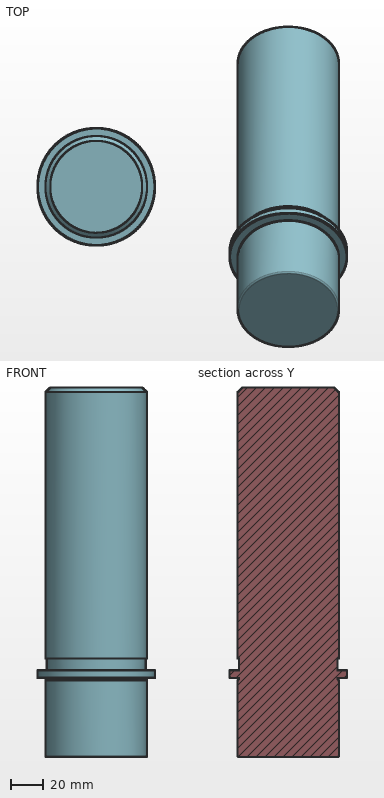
import cadquery as cq

total_height = 229.0
body_radius = 63.0 / 2

collar_radius = 73.0 / 2
collar_bottom = 49.0
collar_thickness = 5.0
collar_edge_chamfer = 0.4

neck_radius = 61.4 / 2
neck_top = 61.0

top_chamfer = 3.0
bottom_fillet = 1.0

shoulder_bottom = 47.5
shoulder_top = 48.6


def make_post():
    """Post with a reduced neck, a chamfered top and a rounded bottom edge, revolved about Z."""
    profile = (
        cq.Workplane("XZ")
        .moveTo(0, 0)
        .lineTo(body_radius - bottom_fillet, 0)
        .radiusArc((body_radius, bottom_fillet), -bottom_fillet)
        .lineTo(body_radius, shoulder_bottom)
        .lineTo(neck_radius, shoulder_top)
        .lineTo(neck_radius, neck_top)
        .lineTo(body_radius, neck_top)
        .lineTo(body_radius, total_height - top_chamfer)
        .lineTo(body_radius - top_chamfer, total_height)
        .lineTo(0, total_height)
        .close()
    )
    return profile.revolve(360, (0, 0, 0), (0, 1, 0))


def make_collar():
    """Thin collar around the neck, with both rims chamfered."""
    base = cq.Workplane("XY").workplane(offset=collar_bottom)
    collar = base.circle(collar_radius).extrude(collar_thickness)
    return collar.edges("%CIRCLE").chamfer(collar_edge_chamfer)


result = make_post().union(make_collar())